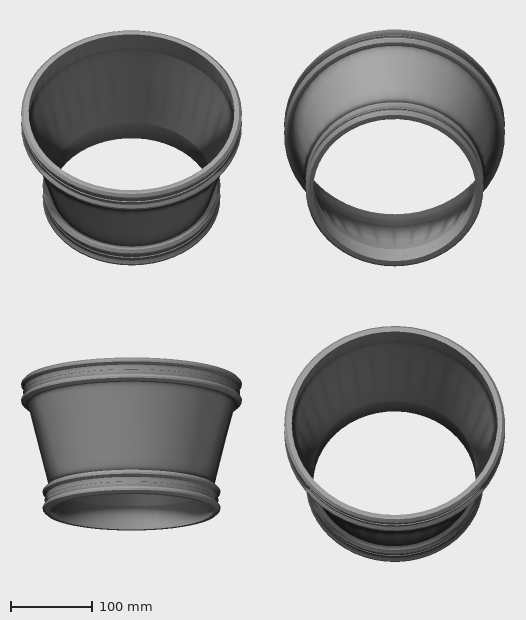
import cadquery as cq

total_height = 164.8

flange_chamfer = 3.3
flange_land = 2.5
flange_height = flange_land + 2 * flange_chamfer
groove_width = 11.5
collar_height = 2 * flange_height + groove_width
rib_height = 1.0
rib_thickness = 0.8

top_bore_diameter = 253.0
top_flange_diameter = 271.5
bottom_bore_diameter = 200.0
bottom_flange_diameter = 218.5

shell_wall = 0.8


def make_collar(bore_diameter, flange_diameter, base_z):
    """Ring with two chamfered flanges and a thin rib midway along the groove between them."""
    bore_radius = bore_diameter / 2
    flange_radius = flange_diameter / 2
    groove_radius = flange_radius - flange_chamfer

    body = (
        cq.Workplane("XY")
        .workplane(offset=base_z)
        .circle(groove_radius)
        .circle(bore_radius)
        .extrude(collar_height)
    )
    for flange_z in (base_z, base_z + collar_height - flange_height):
        flange = (
            cq.Workplane("XY")
            .workplane(offset=flange_z)
            .circle(flange_radius)
            .extrude(flange_height)
            .faces("<Z or >Z")
            .chamfer(flange_chamfer)
            .cut(bore_cutter(bore_radius, flange_z, flange_height))
        )
        body = body.union(flange)

    rib_z = base_z + (collar_height - rib_thickness) / 2
    rib = (
        cq.Workplane("XY")
        .workplane(offset=rib_z)
        .circle(groove_radius + rib_height)
        .circle(bore_radius)
        .extrude(rib_thickness)
    )
    return body.union(rib)


def bore_cutter(radius, base_z, height):
    """Cylinder that opens the bore through a flange."""
    return cq.Workplane("XY").workplane(offset=base_z).circle(radius).extrude(height)


def make_conical_shell():
    """Thin tapered wall that joins the facing ends of the two collars."""
    bottom_z = collar_height
    top_z = total_height - collar_height
    bottom_radius = bottom_bore_diameter / 2
    top_radius = top_bore_diameter / 2
    profile = [
        (bottom_radius, bottom_z),
        (bottom_radius + shell_wall, bottom_z),
        (top_radius + shell_wall, top_z),
        (top_radius, top_z),
    ]
    return cq.Workplane("XZ").polyline(profile).close().revolve(360, (0, 0, 0), (0, 1, 0))


bottom_collar = make_collar(bottom_bore_diameter, bottom_flange_diameter, 0)
top_collar = make_collar(top_bore_diameter, top_flange_diameter, total_height - collar_height)
conical_shell = make_conical_shell()

result = cq.Compound.makeCompound([bottom_collar.val(), conical_shell.val(), top_collar.val()])